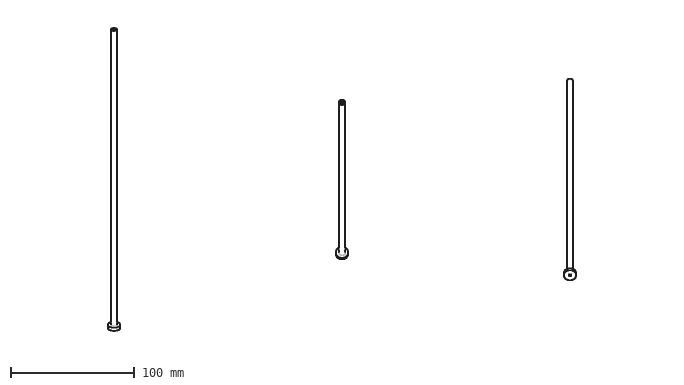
import cadquery as cq
import math

total_length = 278.0
head_radius = 10.0 / 2
head_height = 3.0
shaft_radius = 5.0 / 2
bore_radius = 2.0 / 2
root_fillet_radius = 0.3


def sleeve_profile():
    """Half section of the sleeve: head at the bottom, root fillet, shaft and through bore."""
    fillet_outer_radius = shaft_radius + root_fillet_radius
    fillet_top = head_height + root_fillet_radius
    fillet_mid_offset = root_fillet_radius * (1 - math.sqrt(0.5))
    fillet_mid = (shaft_radius + fillet_mid_offset, head_height + fillet_mid_offset)
    return (
        cq.Workplane("XZ")
        .moveTo(bore_radius, 0)
        .lineTo(head_radius, 0)
        .lineTo(head_radius, head_height)
        .lineTo(fillet_outer_radius, head_height)
        .threePointArc(fillet_mid, (shaft_radius, fillet_top))
        .lineTo(shaft_radius, total_length)
        .lineTo(bore_radius, total_length)
        .close()
    )


result = sleeve_profile().revolve(360, (0, 0, 0), (0, 1, 0))